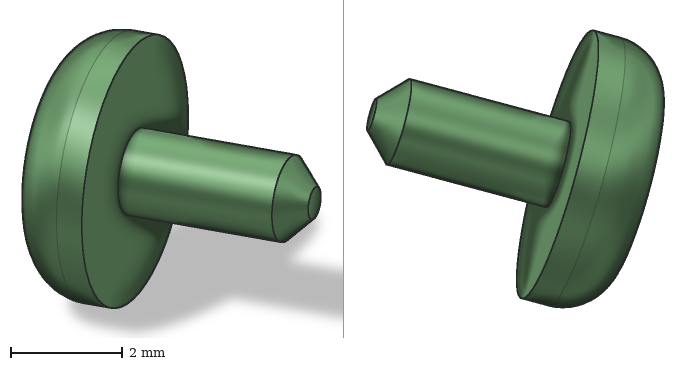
import cadquery as cq

head_diameter = 5.0
head_thickness = 1.5
head_round = 1.0
shank_diameter = 1.6
overall_length = 5.0
tip_chamfer = 0.5

front_x = -overall_length / 2
shank_length = overall_length - head_thickness


def make_head():
    """Disc with a rounded rim on its outer (-X) face."""
    disc = (
        cq.Workplane("YZ", origin=(front_x, 0, 0))
        .circle(head_diameter / 2)
        .extrude(head_thickness)
    )
    return disc.faces("<X").edges().fillet(head_round)


def make_shank():
    """Plain pin behind the head, with a chamfered tip."""
    pin = (
        cq.Workplane("YZ", origin=(front_x + head_thickness, 0, 0))
        .circle(shank_diameter / 2)
        .extrude(shank_length)
    )
    return pin.faces(">X").edges().chamfer(tip_chamfer)


result = make_head().union(make_shank())